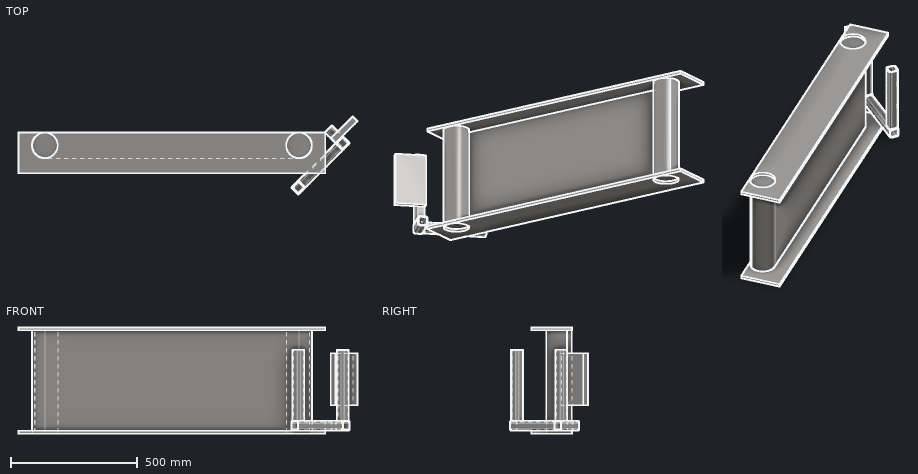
import cadquery as cq
import math

plate_length = 1210.0
plate_width = 162.0
plate_thickness = 12.0
overall_height = 420.0
plate_gap = overall_height - 2 * plate_thickness

roller_radius = 50.2
roller_inset = 104.0
sheet_thickness = 1.0
wrap_angle = 127
sheet_radius = roller_radius + sheet_thickness
roller_span = plate_length - 2 * roller_inset
roller_y = plate_width / 2 - sheet_radius

tube_width = 40.0
tube_corner_radius = 10.0
tube_wall = 4.0
post_height = 278.0
crossbar_length = 247.0
foot_length = 100.0

front_post_u = tube_width / 2
rear_post_u = crossbar_length + tube_width / 2

stand_x = 484.0
stand_y = -151.0
stand_angle = 45

panel_length = 123.0
panel_thickness = 27.0
panel_height = 206.0
panel_bottom = 112.0


def make_plate(bottom):
    """End plate with a through hole over each roller."""
    plate = (
        cq.Workplane("XY", origin=(0, 0, bottom))
        .rect(plate_length, plate_width)
        .extrude(plate_thickness)
    )
    holes = (
        cq.Workplane("XY", origin=(0, roller_y, bottom))
        .pushPoints([(-roller_span / 2, 0), (roller_span / 2, 0)])
        .circle(roller_radius)
        .extrude(plate_thickness)
    )
    return plate.cut(holes)


def make_roller(x):
    """Solid cylinder between the two plates."""
    return (
        cq.Workplane("XY", origin=(x, roller_y, plate_thickness))
        .circle(roller_radius)
        .extrude(plate_gap)
    )


def roller_point(side, radius, angle):
    """Point beside the left (side -1) or right (side 1) roller, angle in degrees outward from -Y."""
    outward = radius * math.sin(math.radians(angle))
    return side * (roller_span / 2 + outward), -radius * math.cos(math.radians(angle))


def make_sheet():
    """Flat along the -Y side of both rollers, with each end wrapped on past the outer side."""
    outer, inner, middle = sheet_radius, roller_radius, wrap_angle / 2
    outline = (
        cq.Workplane("XY", origin=(0, roller_y, plate_thickness))
        .moveTo(*roller_point(-1, outer, wrap_angle))
        .threePointArc(roller_point(-1, outer, middle), roller_point(-1, outer, 0))
        .lineTo(*roller_point(1, outer, 0))
        .threePointArc(roller_point(1, outer, middle), roller_point(1, outer, wrap_angle))
        .lineTo(*roller_point(1, inner, wrap_angle))
        .threePointArc(roller_point(1, inner, middle), roller_point(1, inner, 0))
        .lineTo(*roller_point(-1, inner, 0))
        .threePointArc(roller_point(-1, inner, middle), roller_point(-1, inner, wrap_angle))
        .close()
    )
    return outline.extrude(plate_gap)


def make_tube(length):
    """Open square tube along +Z from the origin, rounded along its long edges."""
    bore_width = tube_width - 2 * tube_wall
    outside = cq.Workplane("XY").rect(tube_width, tube_width).extrude(length)
    outside = outside.edges("|Z").fillet(tube_corner_radius)
    bore = cq.Workplane("XY").rect(bore_width, bore_width).extrude(length)
    bore = bore.edges("|Z").fillet(tube_corner_radius - tube_wall)
    return outside.cut(bore)


def place_in_stand(body):
    """Move a body from the stand's own axes (crossbar along +X) into the assembly."""
    turned = body.rotate((0, 0, 0), (0, 0, 1), stand_angle)
    return turned.translate((stand_x, stand_y, plate_thickness))


def make_post(u):
    """Upright tube standing on the crossbar or on the foot."""
    return place_in_stand(make_tube(post_height).translate((u, 0, tube_width)))


def make_crossbar():
    """Low tube from under the front post to the side of the foot."""
    bar = make_tube(crossbar_length).rotate((0, 0, 0), (0, 1, 0), 90)
    return place_in_stand(bar.translate((0, 0, tube_width / 2)))


def make_foot():
    """Low tube under the rear post, square to the crossbar and flush with its front."""
    foot = make_tube(foot_length).rotate((0, 0, 0), (1, 0, 0), -90)
    return place_in_stand(foot.translate((rear_post_u, -tube_width / 2, tube_width / 2)))


def make_panel():
    """Flat board against the back of the rear post."""
    panel = cq.Workplane("XY").box(
        panel_length, panel_thickness, panel_height, centered=False
    )
    return place_in_stand(
        panel.translate((crossbar_length, tube_width / 2, panel_bottom - plate_thickness))
    )


plates = [make_plate(bottom) for bottom in (0, plate_thickness + plate_gap)]
rollers = [make_roller(x) for x in (-roller_span / 2, roller_span / 2)]
sheet = make_sheet()
posts = [make_post(u) for u in (front_post_u, rear_post_u)]
crossbar = make_crossbar()
foot = make_foot()
panel = make_panel()

result = cq.Compound.makeCompound(
    [
        *[plate.val() for plate in plates],
        *[roller.val() for roller in rollers],
        sheet.val(),
        *[post.val() for post in posts],
        crossbar.val(),
        foot.val(),
        panel.val(),
    ]
)